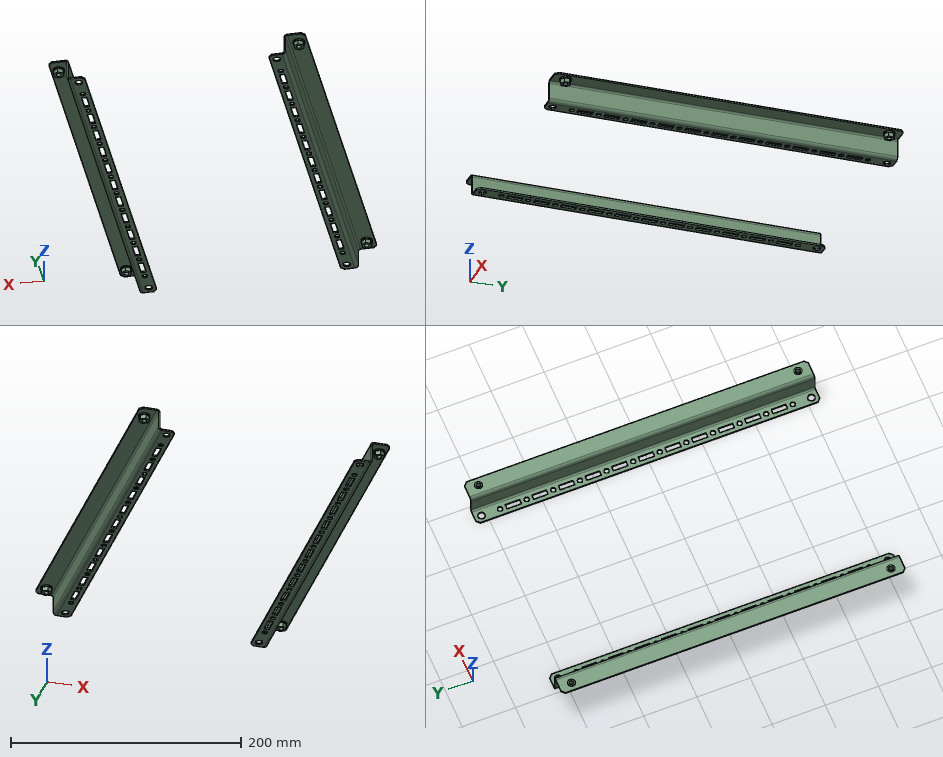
import cadquery as cq
import math

LENGTH = 323.0
WIDTH = 227.0
HEIGHT = 21.0

SHEET = 1.5
BEND_INNER = 1.75
BEND_OUTER = BEND_INNER + SHEET
TOP_FLANGE = 18.0
BRACKET_WIDTH = 32.0
CORNER_CHAMFER = 3.0

HOLE_INSET = 6.0
MOUNT_DIAMETER = 6.5
MOUNT_SPACING = 309.8
SMALL_DIAMETER = 4.5
SMALL_COUNT = 12
SLOT_COUNT = SMALL_COUNT - 1
ROW_SPAN = 275.0
PITCH = ROW_SPAN / (SMALL_COUNT - 1)
SLOT_WIDTH = 4.5
SLOT_LENGTH = 13.5

NUT_INSET = 7.0
NUT_SPACING = 300.0
SLEEVE_DIAMETER = 7.0
COLLAR_DIAMETER = 10.3
COLLAR_HEIGHT = 1.3
HEX_SIDES = 6
HEX_FLATS = 8.0
HEX_HEIGHT = 4.0
BORE_DIAMETER = 4.2

OUTER_X = -WIDTH / 2
INNER_X = OUTER_X + BRACKET_WIDTH
WEB_INNER_X = OUTER_X + TOP_FLANGE
WEB_OUTER_X = WEB_INNER_X - SHEET
TOP_Z = HEIGHT / 2
BOTTOM_Z = -HEIGHT / 2
FLANGE_UNDERSIDE_Z = TOP_Z - SHEET
HOLE_X = INNER_X - HOLE_INSET
NUT_X = OUTER_X + NUT_INSET
MOUNT_POINTS = [(HOLE_X, side * MOUNT_SPACING / 2) for side in (-1, 1)]
NUT_POINTS = [(NUT_X, side * NUT_SPACING / 2) for side in (-1, 1)]


def row_points(count):
    """Evenly pitched points along the hole line, centred on the bracket."""
    return [(HOLE_X, (i - (count - 1) / 2) * PITCH) for i in range(count)]


def z_section():
    """Z-shaped sheet section with rounded bends, extruded along Y."""
    lower_top_z = BOTTOM_Z + SHEET
    diagonal = math.sqrt(0.5)

    def bend(center_x, center_z, radius, sign):
        return (center_x + sign * radius * diagonal, center_z + sign * radius * diagonal)

    upper_x = WEB_OUTER_X - BEND_INNER
    upper_z = FLANGE_UNDERSIDE_Z - BEND_INNER
    lower_x = WEB_INNER_X + BEND_INNER
    lower_z = lower_top_z + BEND_INNER
    return (
        cq.Workplane("XZ", origin=(0, LENGTH / 2, 0))
        .moveTo(OUTER_X, TOP_Z)
        .lineTo(upper_x, TOP_Z)
        .threePointArc(bend(upper_x, upper_z, BEND_OUTER, 1), (WEB_INNER_X, upper_z))
        .lineTo(WEB_INNER_X, lower_z)
        .threePointArc(bend(lower_x, lower_z, BEND_INNER, -1), (lower_x, lower_top_z))
        .lineTo(INNER_X, lower_top_z)
        .lineTo(INNER_X, BOTTOM_Z)
        .lineTo(lower_x, BOTTOM_Z)
        .threePointArc(bend(lower_x, lower_z, BEND_OUTER, -1), (WEB_OUTER_X, lower_z))
        .lineTo(WEB_OUTER_X, upper_z)
        .threePointArc(bend(upper_x, upper_z, BEND_INNER, 1), (upper_x, FLANGE_UNDERSIDE_Z))
        .lineTo(OUTER_X, FLANGE_UNDERSIDE_Z)
        .close()
        .extrude(LENGTH)
    )


def lower_flange_cutters():
    """Mounting holes and the alternating row of small holes and slots."""
    floor = cq.Workplane("XY", origin=(0, 0, BOTTOM_Z))
    mounts = floor.pushPoints(MOUNT_POINTS).circle(MOUNT_DIAMETER / 2).extrude(SHEET)
    holes = floor.pushPoints(row_points(SMALL_COUNT)).circle(SMALL_DIAMETER / 2).extrude(SHEET)
    slots = floor.pushPoints(row_points(SLOT_COUNT)).rect(SLOT_WIDTH, SLOT_LENGTH).extrude(SHEET)
    return mounts.add(holes).add(slots)


def nut_seat_cutters():
    """Round seats in the top flange that hold the nut sleeves."""
    return (
        cq.Workplane("XY", origin=(0, 0, FLANGE_UNDERSIDE_Z))
        .pushPoints(NUT_POINTS)
        .circle(SLEEVE_DIAMETER / 2)
        .extrude(SHEET)
    )


def make_bracket():
    """Z-bracket on the -X side."""
    bracket = z_section().edges("|Z and (<X or >X)").chamfer(CORNER_CHAMFER)
    for cutter in lower_flange_cutters().vals() + nut_seat_cutters().vals():
        bracket = bracket.cut(cq.Workplane(cutter))
    return bracket


def make_nut(x, y):
    """Press-in nut: sleeve in the flange, round collar and hexagon below it."""
    underside = cq.Workplane("XY", origin=(x, y, FLANGE_UNDERSIDE_Z))
    sleeve = underside.circle(SLEEVE_DIAMETER / 2).extrude(SHEET)
    collar = underside.circle(COLLAR_DIAMETER / 2).extrude(-COLLAR_HEIGHT)
    hexagon = (
        underside.workplane(offset=-COLLAR_HEIGHT)
        .transformed(rotate=(0, 0, 90))
        .polygon(HEX_SIDES, HEX_FLATS / math.cos(math.pi / HEX_SIDES))
        .extrude(-HEX_HEIGHT)
    )
    body = sleeve.union(collar).union(hexagon)
    return body.faces(">Z").workplane(origin=(x, y, 0)).hole(BORE_DIAMETER)


bracket = make_bracket()
nuts = [make_nut(x, y) for x, y in NUT_POINTS]

bodies = []
for body in [bracket, *nuts]:
    bodies.append(body.val())
    bodies.append(body.mirror("YZ").val())

result = cq.Compound.makeCompound(bodies)